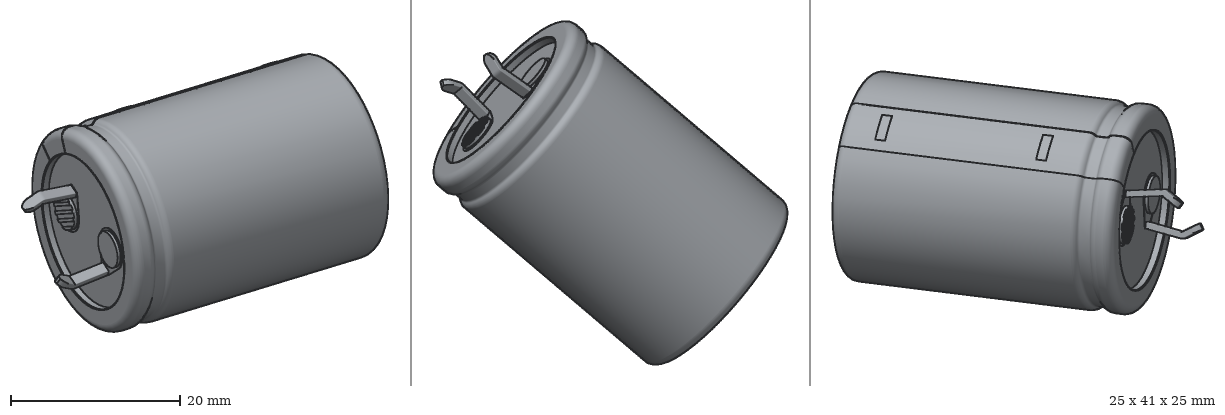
import cadquery as cq
import math


sleeve_diameter = 25.0
sleeve_length = 35.0
sleeve_wall = 0.12
sleeve_opening_diameter = 19.2
front_edge_radius = 1.1
back_edge_radius = 1.1

groove_centre_y = 3.6
groove_floor_width = 1.05
groove_diameter = 23.95
groove_lip_radius = 0.95
groove_root_radius = 0.35

stripe_start_angle = 115.0
stripe_end_angle = 142.5
minus_length = 3.4
minus_width = 1.25
minus_height = 0.1
minus_pitch = 20.0
front_minus_y = 9.9

can_back_edge_radius = 1.5
recess_diameter = 19.0
recess_depth = 1.0

terminal_pitch = 10.0
terminal_tilt = 20.5
tab_diameter = 5.12
tab_reach = 4.05
tab_thickness = 0.1
rivet_diameter = 4.5
rivet_height = 0.5
blade_width = 1.48
blade_thickness = 0.8
blade_bend_reach = 4.7
blade_bend_y = -3.55
blade_tip_y = -6.0
blade_rise_angle = 8.5
blade_return_angle = 32.0
blade_edge_radius = 0.1
blade_taper_length = 1.2
blade_tip_width = 0.4

hatch_bars = 5
hatch_pitch = 1.0
hatch_width = 0.4
hatch_height = 0.12
hatch_angle = 29.0

sleeve_radius = sleeve_diameter / 2
groove_radius = groove_diameter / 2
floor_y = recess_depth


def turned_blank(inset, back_radius):
    """Turned solid with the jacket outline moved in by `inset` and its own back edge radius."""
    outer = sleeve_radius - inset
    root = groove_radius - inset
    front = inset
    back = sleeve_length - inset
    front_radius = front_edge_radius - inset
    lip = groove_lip_radius - inset
    root_fillet = groove_root_radius + inset
    turn = math.acos(1 - (outer - root) / (lip + root_fillet))
    floor_half = groove_floor_width / 2
    lip_half = floor_half + (lip + root_fillet) * math.sin(turn)

    def on_root(side, angle):
        return (
            root + root_fillet * (1 - math.cos(angle)),
            groove_centre_y + side * (floor_half + root_fillet * math.sin(angle)),
        )

    def on_lip(side, angle):
        return (
            outer - lip * (1 - math.cos(angle)),
            groove_centre_y + side * (lip_half - lip * math.sin(angle)),
        )

    def on_corner(corner_y, side, radius, angle):
        return (
            outer - radius * (1 - math.cos(angle)),
            corner_y - side * radius * (1 - math.sin(angle)),
        )

    eighth, quarter = math.pi / 4, math.pi / 2
    outline = (
        cq.Workplane("XY")
        .moveTo(0, front)
        .lineTo(*on_corner(front, -1, front_radius, quarter))
        .threePointArc(
            on_corner(front, -1, front_radius, eighth), on_corner(front, -1, front_radius, 0)
        )
        .lineTo(*on_lip(-1, 0))
        .threePointArc(on_lip(-1, turn / 2), on_lip(-1, turn))
        .threePointArc(on_root(-1, turn / 2), on_root(-1, 0))
        .lineTo(*on_root(1, 0))
        .threePointArc(on_root(1, turn / 2), on_root(1, turn))
        .threePointArc(on_lip(1, turn / 2), on_lip(1, 0))
        .lineTo(*on_corner(back, 1, back_radius, 0))
        .threePointArc(
            on_corner(back, 1, back_radius, eighth), on_corner(back, 1, back_radius, quarter)
        )
        .lineTo(0, back)
        .close()
    )
    return outline.revolve(360, (0, 0, 0), (0, 1, 0))


def disc(diameter, y_near, y_far):
    """Disc on the capacitor axis between two Y positions."""
    return cq.Workplane("XZ", origin=(0, y_near, 0)).circle(diameter / 2).extrude(y_near - y_far)


def stripe_sector():
    """Wedge between the two radial planes of the stripe, over the whole length."""
    reach = 2 * sleeve_radius
    corners = [
        (reach * math.cos(math.radians(a)), reach * math.sin(math.radians(a)))
        for a in (stripe_start_angle, stripe_end_angle)
    ]
    return cq.Workplane("XZ").polyline([(0, 0)] + corners).close().extrude(-sleeve_length)


def make_minus_signs():
    """Two curved pads that stand on the stripe, in the middle of its width."""
    middle = (stripe_start_angle + stripe_end_angle) / 2
    block = cq.Workplane("XY").box(minus_length, minus_width, sleeve_radius, centered=(True, True, False))
    front_block = block.translate((0, front_minus_y, sleeve_radius / 2))
    blocks = front_block.union(front_block.translate((0, minus_pitch, 0)))
    layer = disc(sleeve_diameter + 2 * minus_height, sleeve_length, 0)
    layer = layer.cut(disc(sleeve_diameter, sleeve_length, 0))
    return layer.intersect(blocks.rotate((0, 0, 0), (0, 1, 0), 90 - middle))


def make_jacket():
    """The full jacket, before it is divided into sleeve and stripe."""
    jacket = turned_blank(0, back_edge_radius).cut(turned_blank(sleeve_wall, can_back_edge_radius))
    return jacket.cut(disc(sleeve_opening_diameter, 0, sleeve_wall))


def make_tab():
    """Teardrop plate: a round end joined by tangents to the foot of the blade."""
    radius = tab_diameter / 2
    half = blade_width / 2
    distance = math.hypot(half, tab_reach)
    tangent_angle = math.atan2(tab_reach, half) - math.acos(radius / distance)
    tangent = (radius * math.cos(tangent_angle), radius * math.sin(tangent_angle))
    return (
        cq.Workplane("XZ", origin=(0, floor_y, 0))
        .moveTo(half, tab_reach)
        .lineTo(*tangent)
        .threePointArc((0, -radius), (-tangent[0], tangent[1]))
        .lineTo(-half, tab_reach)
        .close()
        .extrude(tab_thickness)
    )


def blade_plan(tip_length):
    """Thick plate with the width of the blade, narrowing in two arcs to the tip at Y = -tip_length."""
    half = blade_width / 2
    tip_half = blade_tip_width / 2
    back = 2 * (floor_y - blade_bend_y)
    half_plan = (
        cq.Workplane("XY")
        .moveTo(0, back)
        .lineTo(half, back)
        .lineTo(half, blade_taper_length - tip_length)
        .tangentArcPoint((tip_half, -tip_length), relative=False)
        .lineTo(0, -tip_length)
        .close()
        .extrude(back, both=True)
    )
    return half_plan.union(half_plan.mirror("YZ"))


def make_blade():
    """Bent strip with a tapered tip; the outside of the bend is rounded, the inside is sharp."""
    rise = math.radians(blade_rise_angle)
    fall = math.radians(blade_return_angle)
    inner_z = blade_bend_reach - blade_thickness
    foot_run = floor_y - blade_bend_y
    foot_z = inner_z - foot_run * math.tan(rise)
    tip_y = blade_tip_y + blade_thickness * math.sin(fall)
    tip_z = inner_z - (blade_bend_y - tip_y) * math.tan(fall)

    def outside(y, z, angle):
        return (y + blade_thickness * math.sin(angle), z + blade_thickness * math.cos(angle))

    strip = (
        cq.Workplane("YZ", origin=(-blade_width / 2, 0, 0))
        .moveTo(floor_y, foot_z)
        .lineTo(blade_bend_y, inner_z)
        .lineTo(tip_y, tip_z)
        .lineTo(*outside(tip_y, tip_z, -fall))
        .lineTo(*outside(blade_bend_y, inner_z, -fall))
        .threePointArc((blade_bend_y, blade_bend_reach), outside(blade_bend_y, inner_z, rise))
        .lineTo(floor_y, foot_z + blade_thickness / math.cos(rise))
        .close()
        .extrude(blade_width)
    )
    strip = strip.faces("<X or >X").edges("not (<Y or >Y)").fillet(blade_edge_radius)
    tip_length = (blade_bend_y - tip_y) / math.cos(fall)
    plan = blade_plan(tip_length).translate((0, blade_bend_y, inner_z))
    bend_axis_start, bend_axis_end = (0, blade_bend_y, inner_z), (1, blade_bend_y, inner_z)
    return strip.intersect(plan.rotate(bend_axis_start, bend_axis_end, blade_return_angle))


def make_hatching():
    """Parallel bars standing on a rivet head, trimmed to its outline."""
    head_y = floor_y - rivet_height
    offsets = [(0, (i - (hatch_bars - 1) / 2) * hatch_pitch) for i in range(hatch_bars)]
    bars = (
        cq.Workplane("XZ", origin=(0, head_y, 0))
        .pushPoints(offsets)
        .rect(rivet_diameter, hatch_width)
        .extrude(hatch_height)
        .rotate((0, 0, 0), (0, 1, 0), -hatch_angle)
    )
    return bars.intersect(disc(rivet_diameter, head_y, head_y - hatch_height))


def make_terminal():
    """One terminal, centred on the capacitor axis with its blade to +Z."""
    return make_tab().union(disc(rivet_diameter, floor_y, floor_y - rivet_height)).union(make_blade())


def make_can():
    """Can with its recess, both terminals and the hatching."""
    can = turned_blank(sleeve_wall, can_back_edge_radius).cut(disc(recess_diameter, floor_y, 0))
    terminal = make_terminal().rotate((0, 0, 0), (0, 1, 0), terminal_tilt)
    terminal = terminal.translate((-terminal_pitch / 2, 0, 0))
    for turn in (0, 180):
        can = can.union(terminal.rotate((0, 0, 0), (0, 1, 0), turn))
    return can.union(make_hatching().translate((-terminal_pitch / 2, 0, 0)))


jacket = make_jacket()
sector = stripe_sector()
sleeve = jacket.cut(sector)
stripe = jacket.intersect(sector).union(make_minus_signs())
can = make_can()

result = cq.Compound.makeCompound([body.solids().val() for body in (sleeve, stripe, can)])